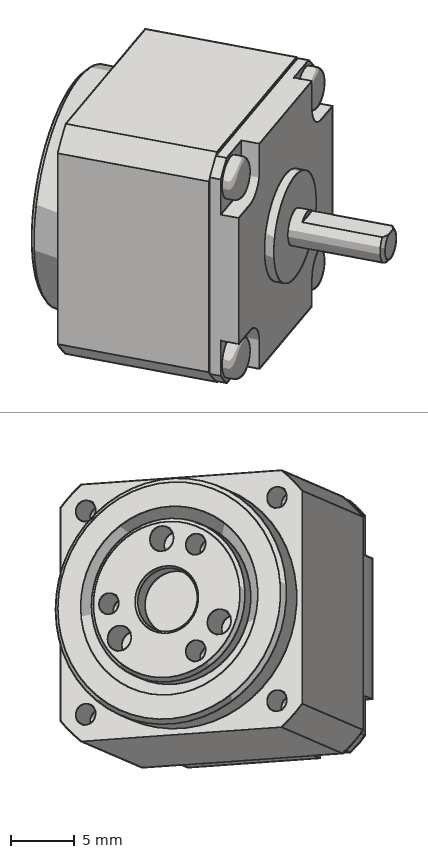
import cadquery as cq
import math

output_face_x = 0.0
ring_face_x = 0.5
block_front_x = 3.02
block_rear_x = 15.75
pocket_floor_x = 16.65
cap_rear_x = 18.17
boss_end_x = 18.95
flat_start_x = 19.98
shaft_end_x = 27.0

block_side = 20.4
corner_circle_diameter = 26.51
ring_radius = 9.75
ring_chamfer = 0.35
groove_mouth_radius = 7.48
disc_radius = 6.48
disc_chamfer = 0.3
groove_depth = 1.0
bore_radius = 2.5
bore_chamfer = 0.15
bore_depth = 1.67

drill_radius = 0.85
drill_tip_angle = 118.0
mounting_hole_offset = 8.07
mounting_hole_depth = 3.0
disc_hole_circle_radius = 4.9
disc_hole_count = 3
tapped_hole_depth = 3.0
pin_hole_radius = 1.0
pin_hole_depth = 3.0
pin_hole_turn = 5.0

cap_side = 19.98
boss_radius = 4.5
pocket_inner_offset = 5.6
pocket_corner_radius = 2.0

screw_offset = 7.95
screw_head_radius = 1.75
screw_rim_height = 0.6
screw_head_edge_radius = 0.55
screw_dome_rise = 0.2

shaft_radius = 1.5
shaft_flat_height = 1.1
shaft_chamfer = 0.3


def section_at(x):
    """Workplane across the axis at x: local x is +Y, local y is +Z, extrusion goes to +X."""
    return cq.Workplane("YZ", origin=(x, 0, 0))


def rounded_block(start_x, end_x, side):
    """Square block along X whose four corners are trimmed by the corner cylinder."""
    length = end_x - start_x
    square = section_at(start_x).rect(side, side).extrude(length)
    corner_cylinder = section_at(start_x).circle(corner_circle_diameter / 2).extrude(length)
    return square.intersect(corner_cylinder)


def corner_points(offset):
    """The four (Y, Z) points at the given distance from both centre planes."""
    return [(y, z) for y in (-offset, offset) for z in (-offset, offset)]


def disc_hole_points(first_angle):
    """Evenly spaced (Y, Z) points on the disc hole circle, with angles from +Y towards +Z."""
    angles = [math.radians(first_angle + i * 360 / disc_hole_count) for i in range(disc_hole_count)]
    return [(disc_hole_circle_radius * math.cos(a), disc_hole_circle_radius * math.sin(a)) for a in angles]


def drilled_holes(start_x, points, depth):
    """Blind holes along +X that end in a drill-point cone; depth is that of the straight wall."""
    tip_length = drill_radius / math.tan(math.radians(drill_tip_angle / 2))
    hole = (
        cq.Workplane("XY")
        .polyline([(0, 0), (0, drill_radius), (depth, drill_radius), (depth + tip_length, 0)])
        .close()
        .revolve(360, (0, 0, 0), (1, 0, 0))
        .val()
    )
    return cq.Workplane("XY").newObject([hole.translate(cq.Vector(start_x, y, z)) for y, z in points])


def cut_all(body, tools):
    """Cut every solid held by the tools workplane out of the body."""
    for tool in tools.vals():
        body = body.cut(cq.Workplane(tool))
    return body


def make_housing():
    """Square block with the pilot ring, output disc and blind holes of its front."""
    front_profile = [
        (output_face_x + bore_depth, 0),
        (output_face_x + bore_depth, bore_radius),
        (output_face_x + bore_chamfer, bore_radius),
        (output_face_x, bore_radius + bore_chamfer),
        (output_face_x, disc_radius - disc_chamfer),
        (output_face_x + disc_chamfer, disc_radius),
        (ring_face_x + groove_depth, disc_radius),
        (ring_face_x, groove_mouth_radius),
        (ring_face_x, ring_radius - ring_chamfer),
        (ring_face_x + ring_chamfer, ring_radius),
        (block_front_x, ring_radius),
        (block_front_x, 0),
    ]
    front = cq.Workplane("XY").polyline(front_profile).close().revolve(360, (0, 0, 0), (1, 0, 0))
    housing = rounded_block(block_front_x, block_rear_x, block_side).union(front)

    mounting_holes = drilled_holes(block_front_x, corner_points(mounting_hole_offset), mounting_hole_depth)
    housing = cut_all(housing, mounting_holes)

    tapped_holes = drilled_holes(output_face_x, disc_hole_points(0), tapped_hole_depth)
    housing = cut_all(housing, tapped_holes)

    pin_holes = (
        section_at(output_face_x)
        .pushPoints(disc_hole_points(90 - pin_hole_turn))
        .circle(pin_hole_radius)
        .extrude(pin_hole_depth)
    )
    return housing.cut(pin_holes)


def make_end_cap():
    """Rear plate with a round boss and a pocket in each corner."""
    cap = rounded_block(block_rear_x, cap_rear_x, cap_side)
    pocket_reach = cap_side / 2
    pocket_centre = pocket_inner_offset + pocket_reach / 2
    pockets = (
        section_at(pocket_floor_x)
        .pushPoints(corner_points(pocket_centre))
        .rect(pocket_reach, pocket_reach)
        .extrude(cap_rear_x - pocket_floor_x)
        .edges("|X")
        .fillet(pocket_corner_radius)
    )
    boss = section_at(cap_rear_x).circle(boss_radius).extrude(boss_end_x - cap_rear_x)
    return cap.cut(pockets).union(boss)


def make_screw(y, z):
    """Domed screw head that rests on a pocket floor."""
    edge_top = screw_rim_height + screw_head_edge_radius
    crown_radius = screw_head_radius - screw_head_edge_radius
    diagonal = screw_head_edge_radius * math.sqrt(0.5)
    dome_height = edge_top + screw_dome_rise
    dome_sphere_radius = (crown_radius**2 + screw_dome_rise**2) / (2 * screw_dome_rise)
    dome_mid_radius = crown_radius / 2
    dome_mid_height = dome_height - dome_sphere_radius + math.sqrt(dome_sphere_radius**2 - dome_mid_radius**2)
    head = (
        cq.Workplane("XY")
        .moveTo(0, 0)
        .lineTo(0, screw_head_radius)
        .lineTo(screw_rim_height, screw_head_radius)
        .threePointArc((screw_rim_height + diagonal, crown_radius + diagonal), (edge_top, crown_radius))
        .threePointArc((dome_mid_height, dome_mid_radius), (dome_height, 0))
        .close()
        .revolve(360, (0, 0, 0), (1, 0, 0))
    )
    return head.translate((pocket_floor_x, y, z))


def make_shaft():
    """Round shaft that starts on the boss and ends in a D-shaped, chamfered tip."""
    shaft = section_at(boss_end_x).circle(shaft_radius).extrude(shaft_end_x - boss_end_x)
    shaft = shaft.faces(">X").chamfer(shaft_chamfer)
    above_flat = cq.Workplane("XY", origin=(flat_start_x, 0, shaft_flat_height)).box(
        shaft_end_x - flat_start_x, 2 * shaft_radius, shaft_radius, centered=(False, True, False)
    )
    return shaft.cut(above_flat)


housing = make_housing()
end_cap = make_end_cap()
screws = [make_screw(y, z) for y, z in corner_points(screw_offset)]
shaft = make_shaft()

result = cq.Compound.makeCompound(
    [housing.val(), end_cap.val(), *[screw.val() for screw in screws], shaft.val()]
)